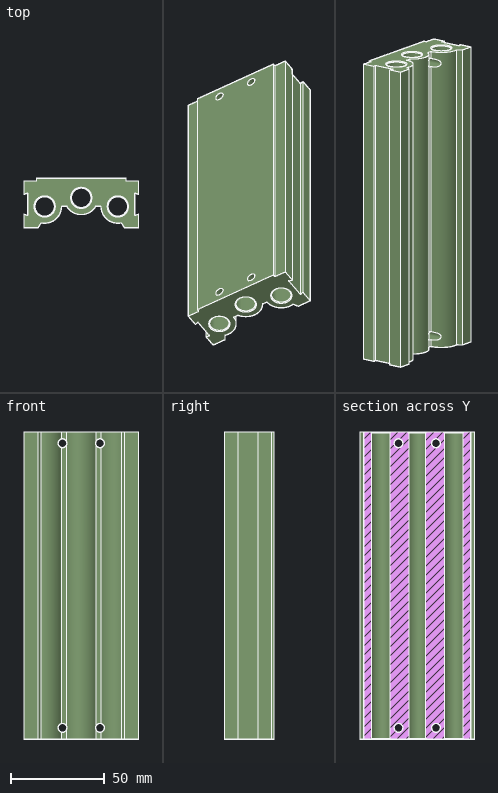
import cadquery as cq
import math

width = 61.0
depth = 26.5
length = 163.5
half_width = width / 2
front = -depth / 2
back = depth / 2

pad_half_width = 23.9
pad_height = 1.5

slot_depth = 2.0
slot_mouth_start = 7.4
slot_mouth_end = 17.8
slot_undercut = 0.7

bore_diameter = 10.3
bore_chamfer = 0.5
rib_radius = 9.0
side_bore_x = 19.5
side_bore_y = front + 11.5
centre_bore_y = front + 16.0

valley_y = front + 11.5

foot_width = 7.5
foot_flank_run = 1.6

cross_hole_diameter = 4.5
cross_hole_x = 10.0
cross_hole_end_distance = 6.0


def half_chord(radius, offset):
    """Half the length of a circle's chord lying at an offset from its centre."""
    return math.sqrt(radius**2 - offset**2)


def make_half_profile():
    """Extruded +X half of the profile, without bores."""
    foot_x = half_width - foot_width
    flank_x = foot_x - foot_flank_run
    flank_y = side_bore_y - half_chord(rib_radius, flank_x - side_bore_x)
    side_rib_x = side_bore_x - half_chord(rib_radius, valley_y - side_bore_y)
    centre_rib_x = half_chord(rib_radius, valley_y - centre_bore_y)
    slot_floor_x = half_width - slot_depth
    diagonal = rib_radius * math.sqrt(0.5)
    centre_rib_angle = math.atan2(centre_rib_x, centre_bore_y - valley_y) / 2
    centre_rib_mid = (
        rib_radius * math.sin(centre_rib_angle),
        centre_bore_y - rib_radius * math.cos(centre_rib_angle),
    )

    return (
        cq.Workplane("XY")
        .moveTo(0, back)
        .lineTo(pad_half_width, back)
        .lineTo(pad_half_width, back - pad_height)
        .lineTo(half_width, back - pad_height)
        .lineTo(half_width, front + slot_mouth_end)
        .lineTo(slot_floor_x, front + slot_mouth_end + slot_undercut)
        .lineTo(slot_floor_x, front + slot_mouth_start - slot_undercut)
        .lineTo(half_width, front + slot_mouth_start)
        .lineTo(half_width, front)
        .lineTo(foot_x, front)
        .lineTo(flank_x, flank_y)
        .threePointArc((side_bore_x - diagonal, side_bore_y - diagonal), (side_rib_x, valley_y))
        .lineTo(centre_rib_x, valley_y)
        .threePointArc(centre_rib_mid, (0, centre_bore_y - rib_radius))
        .close()
        .extrude(length)
    )


def make_bores():
    """Three bores running the full length, flared by a chamfer at both ends."""
    centres = [(-side_bore_x, side_bore_y), (0, centre_bore_y), (side_bore_x, side_bore_y)]
    radius = bore_diameter / 2
    mouth_radius = radius + bore_chamfer
    bore = (
        cq.Workplane("XZ")
        .lineTo(mouth_radius, 0)
        .lineTo(radius, bore_chamfer)
        .lineTo(radius, length - bore_chamfer)
        .lineTo(mouth_radius, length)
        .lineTo(0, length)
        .close()
        .revolve(360, (0, 0, 0), (0, 1, 0))
    )
    return cq.Workplane("XY").pushPoints(centres).eachpoint(bore.val())


def make_cross_holes():
    """Four holes through the depth, two near each end."""
    centres = [
        (x, z)
        for x in (-cross_hole_x, cross_hole_x)
        for z in (cross_hole_end_distance, length - cross_hole_end_distance)
    ]
    return (
        cq.Workplane("XZ", origin=(0, back, 0))
        .pushPoints(centres)
        .circle(cross_hole_diameter / 2)
        .extrude(depth)
    )


half_body = make_half_profile()
body = half_body.union(half_body.mirror("YZ")).clean()
result = body.cut(make_bores()).cut(make_cross_holes())